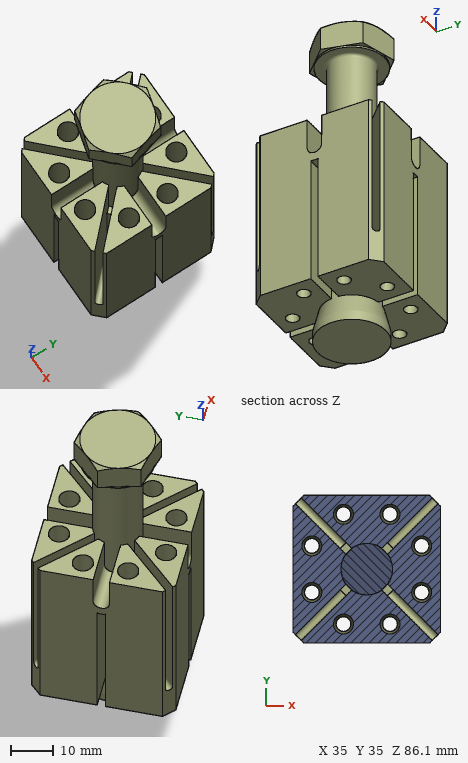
import cadquery as cq
import math

block_side = 35.0
block_bottom = 8.0
block_top = 54.1
block_height = block_top - block_bottom
corner_chamfer = 2.7

face_slot_width = 4.0
face_slot_depth = 10.0
relief_slot_width = 2.0
relief_slot_height = 33.9
corner_slot_width = 2.0
corner_slot_depth = 37.5

screw_hole_top_radius = 2.5
screw_hole_bottom_radius = 1.7
screw_hole_far = 13.0
screw_hole_near = 5.5

bolt_length = 86.1
shank_radius = 6.0
hex_flats = 18.0
hex_corner_angle = 45.0
hex_chamfer_angle = 30.0
head_bottom = 79.2
washer_thickness = 0.5
washer_radius = hex_flats / 2
neck_fillet = 0.7
collar_radius = 7.9
collar_top = 39.1
cone_top = block_bottom
cone_bottom = 2.5
foot_radius = 9.3


def through_slot(width, bottom, top, angle):
    """Square-ended cutter across the whole block, turned about Z."""
    return (
        cq.Workplane("XY")
        .box(2 * block_side, width, top - bottom, centered=(True, True, False))
        .translate((0, 0, bottom))
        .rotate((0, 0, 0), (0, 0, 1), angle)
    )


def round_bottom_slot(width, depth, angle):
    """Cutter from the block top across the whole block, with a half-round floor."""
    radius = width / 2
    floor_center = block_top - depth + radius
    floor = (
        cq.Workplane("YZ")
        .center(0, floor_center)
        .circle(radius)
        .extrude(block_side, both=True)
        .rotate((0, 0, 0), (0, 0, 1), angle)
    )
    return through_slot(width, floor_center, block_top, angle).union(floor)


def screw_hole_cutter():
    """Round hole through the block that narrows evenly from top to bottom."""
    return (
        cq.Workplane("XZ")
        .moveTo(0, block_bottom)
        .lineTo(screw_hole_bottom_radius, block_bottom)
        .lineTo(screw_hole_top_radius, block_top)
        .lineTo(0, block_top)
        .close()
        .revolve(360, (0, 0, 0), (0, 1, 0))
    )


def bore_cutter():
    """Stepped bore that fits the shank above and the collar below."""
    lower = cq.Workplane("XY").circle(collar_radius).extrude(collar_top)
    upper = cq.Workplane("XY").circle(shank_radius).extrude(block_top)
    return lower.union(upper)


def make_housing():
    block = (
        cq.Workplane("XY")
        .workplane(offset=block_bottom)
        .rect(block_side, block_side)
        .extrude(block_height)
        .edges("|Z")
        .chamfer(corner_chamfer)
    )
    block = block.cut(bore_cutter())
    relief_top = block_bottom + relief_slot_height
    for angle in (0, 90):
        block = block.cut(round_bottom_slot(face_slot_width, face_slot_depth, angle))
        block = block.cut(through_slot(relief_slot_width, block_bottom, relief_top, angle))
    for angle in (45, 135):
        block = block.cut(round_bottom_slot(corner_slot_width, corner_slot_depth, angle))
    for quarter_turn in range(4):
        for side in (-1, 1):
            hole = screw_hole_cutter().translate((screw_hole_far, side * screw_hole_near, 0))
            block = block.cut(hole.rotate((0, 0, 0), (0, 0, 1), 90 * quarter_turn))
    return block


def make_head():
    """Hexagon head whose top corners are trimmed by a cone touching the flats."""
    corner_radius = hex_flats / 2 / math.cos(math.pi / 6)
    trim_drop = (corner_radius - hex_flats / 2) * math.tan(math.radians(hex_chamfer_angle))
    hexagon = (
        cq.Workplane("XY")
        .workplane(offset=head_bottom)
        .polygon(6, 2 * corner_radius)
        .extrude(bolt_length - head_bottom)
        .rotate((0, 0, 0), (0, 0, 1), hex_corner_angle)
    )
    envelope = (
        cq.Workplane("XZ")
        .moveTo(0, head_bottom)
        .lineTo(corner_radius, head_bottom)
        .lineTo(corner_radius, bolt_length - trim_drop)
        .lineTo(hex_flats / 2, bolt_length)
        .lineTo(0, bolt_length)
        .close()
        .revolve(360, (0, 0, 0), (0, 1, 0))
    )
    return hexagon.intersect(envelope)


def make_bolt():
    """Turned profile below the head, joined to the head."""
    washer_bottom = head_bottom - washer_thickness
    turned = (
        cq.Workplane("XZ")
        .lineTo(foot_radius, 0)
        .lineTo(foot_radius, cone_bottom)
        .lineTo(collar_radius, cone_top)
        .lineTo(collar_radius, collar_top)
        .lineTo(shank_radius, collar_top)
        .lineTo(shank_radius, washer_bottom - neck_fillet)
        .radiusArc((shank_radius + neck_fillet, washer_bottom), neck_fillet)
        .lineTo(washer_radius, washer_bottom)
        .lineTo(washer_radius, head_bottom)
        .lineTo(0, head_bottom)
        .close()
        .revolve(360, (0, 0, 0), (0, 1, 0))
    )
    return turned.union(make_head())


housing = make_housing()
bolt = make_bolt()

result = cq.Compound.makeCompound([housing.val(), bolt.val()])